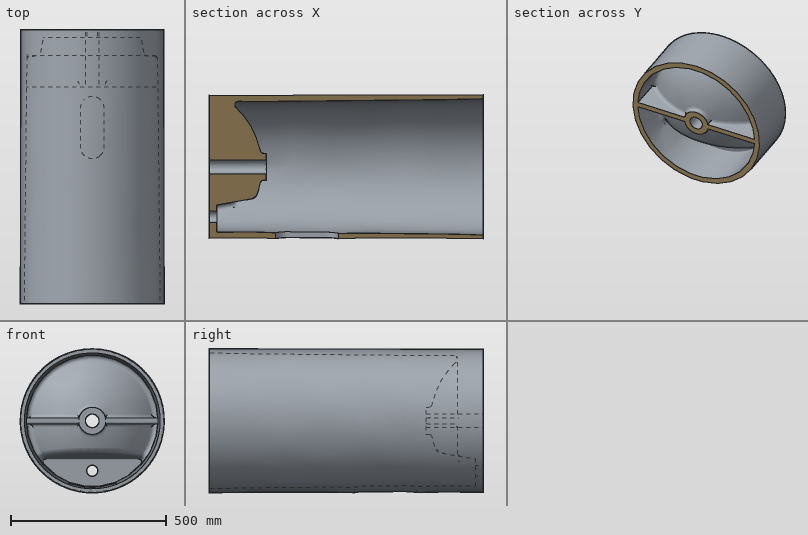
import cadquery as cq
import math

length = 880.0
base_outer_radius = 230.0
outer_draft = 0.1
mouth_wall = 13.5
inner_draft = 0.6
floor_thickness = 25.0

mouth_outer_radius = base_outer_radius + length * math.tan(math.radians(outer_draft))
mouth_inner_radius = mouth_outer_radius - mouth_wall
floor_y = length - floor_thickness
floor_inner_radius = mouth_inner_radius - floor_y * math.tan(math.radians(inner_draft))

dome_height = 145.0
dome_radius = 260.0
dome_top_y = floor_y - dome_height
dome_center_y = dome_top_y + dome_radius

boss_height = 14.0
boss_top_y = dome_top_y - boss_height
boss_radius = 43.5
rib_width = 19.0
rib_top_round = 4.5
foot_fillet = 11.0
center_hole_diameter = 43.0

recess_edge_z = -123.0
recess_slope = 10.0
recess_edge_round = 25.0
floor_fillet = 2.0
drain_hole_diameter = 35.0
drain_hole_z = -160.0

slot_center_y = 566.0
slot_length = 200.0
slot_width = 75.0

edge_margin = 1.0


def frustum(plane, mouth_radius, end_radius, end_y):
    """Tapered solid of revolution about Y; its seam lies in the given plane."""
    outline = [(0, 0), (mouth_radius, 0), (end_radius, end_y), (0, end_y)]
    return cq.Workplane(plane).polyline(outline).close().revolve(360, (0, 0), (0, 1))


def cylinder_along_y(radius, start_y, end_y, z=0.0):
    """Round bar parallel to Y between two Y positions."""
    return cq.Workplane("XZ", origin=(0, start_y, z)).circle(radius).extrude(start_y - end_y)


def make_dome():
    """Spherical dome, cut by the sloping face of the drain recess."""
    sphere = cq.Workplane("XY").sphere(dome_radius).translate((0, dome_center_y, 0))
    rise_across_face = (floor_y - boss_top_y) * math.tan(math.radians(recess_slope))
    keep_outline = [
        (floor_y, recess_edge_z),
        (boss_top_y, recess_edge_z + rise_across_face),
        (boss_top_y, mouth_outer_radius),
        (floor_y, mouth_outer_radius),
    ]
    keep = cq.Workplane("YZ").polyline(keep_outline).close().extrude(mouth_outer_radius, both=True)
    return keep.intersect(sphere)


def make_rib_and_boss():
    """Straight rib from wall to wall with the round boss in the middle."""
    rib_depth = length - boss_top_y
    rib_middle_y = boss_top_y + rib_depth / 2
    rib = cq.Workplane("XY").box(2 * base_outer_radius, rib_depth, rib_width)
    rib = rib.translate((0, rib_middle_y, 0))
    boss = cylinder_along_y(boss_radius, boss_top_y, length)
    return rib.union(boss)


def edges_between(body, near_y, far_y):
    """Edges of body lying wholly between two Y positions."""
    found = []
    for edge in body.edges().vals():
        box = edge.BoundingBox()
        if box.ymin > near_y and box.ymax < far_y:
            found.append(edge)
    return found


def is_recess_edge(edge):
    """True for the curved edge where the dome meets the sloping recess face."""
    box = edge.BoundingBox()
    return box.zmax < recess_edge_z / 2 and box.xmin < 0 < box.xmax


def round_floor_edges(body):
    """Round the recess edge, the feet of dome, rib and boss, the rib top and the floor rim."""
    near_y = boss_top_y + edge_margin
    far_y = floor_y - edge_margin

    recess_edges = [e for e in edges_between(body, near_y, far_y) if is_recess_edge(e)]
    body = body.newObject(recess_edges).fillet(recess_edge_round)

    foot_edges = [e for e in edges_between(body, near_y, far_y) if not is_recess_edge(e)]
    body = body.newObject(foot_edges).fillet(foot_fillet)

    top_edges = edges_between(body, boss_top_y - edge_margin, boss_top_y + edge_margin)
    rib_edges = [e for e in top_edges if e.geomType() == "LINE"]
    body = body.newObject(rib_edges).fillet(rib_top_round)

    floor_edges = edges_between(body, floor_y - edge_margin, floor_y + edge_margin)
    floor_rim = [e for e in floor_edges if e.geomType() == "CIRCLE"]
    return body.newObject(floor_rim).fillet(floor_fillet)


def make_wall_slot():
    """Cutter for the slot, long side along Y, from the axis out through the -Z wall."""
    slot = cq.Workplane("XY", origin=(0, slot_center_y, 0)).slot2D(slot_length, slot_width, 90)
    return slot.extrude(-mouth_outer_radius)


outer = frustum("ZY", mouth_outer_radius, base_outer_radius, length)
cavity = frustum("XY", mouth_inner_radius, floor_inner_radius, floor_y)
cavity = cavity.cut(make_dome()).cut(make_rib_and_boss())
result = round_floor_edges(outer.cut(cavity))
result = result.cut(cylinder_along_y(center_hole_diameter / 2, 0, length))
result = result.cut(cylinder_along_y(drain_hole_diameter / 2, 0, length, drain_hole_z))
result = result.cut(make_wall_slot())